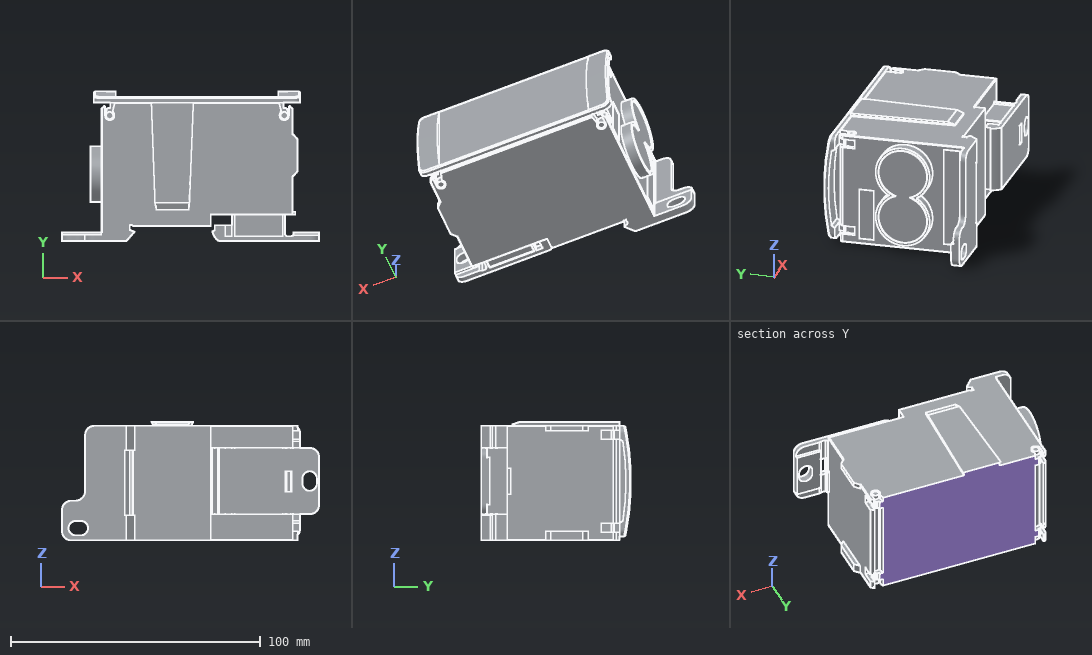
import cadquery as cq

LENGTH = 103.0
BODY_HEIGHT = 45.9

BODY_LEFT = 15.9
BODY_RIGHT = 92.5
BODY_TOP = 55.4
RAIL_FLOOR = 6.0
STEP_X = 59.6
STEP_Y = 10.5
SHOULDER_Y = 52.9
SHOULDER_CHAMFER = 1.1
RIM_CHAMFER = 0.3

BUMP_FACE = 94.3
BUMP_Y = (25.9, 42.8)
BUMP_SLOPE = 2.1
LOWER_BUMP_Z = (0, 3.6)
UPPER_BUMP_Z = (43.9, BODY_HEIGHT)
CATCH_FACE = 93.4
CATCH_TOP = 11.8
CATCH_Z = (18.5, 28.8)

FLANGE_THICKNESS = 2.5
FLANGE_EDGE = 9.3
TAB_HEIGHT = 16.0
CORNER_RADIUS = 3.8
SLOT_LENGTH = 7.7
SLOT_WIDTH = 5.7
FIXED_SLOT = (6.6, 4.9)
PAD_THICKNESS = 3.5
PAD_HEIGHT = 10.3

HOOK_START = 25.9
HOOK_TIP = 29.1
HOOK_ROOT = 27.2
HOOK_ROOT_Y = 4.5
GROOVE_Y = 6.4
HOOK_RELIEF = 0.7
HOOK_RELIEF_Z = (10.2, 36.0)

SLIDER_Z = (10.5, 37.1)
SLIDER_THICKNESS = 2.0
SLIDER_TIP = 60.2
SLIDER_NOSE_Y = 6.4
SLIDER_SLOT_X = 99.2
SLIDER_END_THICKNESS = 2.4
BLOCK_X = (68.1, 89.4)
BLOCK_RIB = 1.0
BLOCK_RECESS = 0.7
BLOCK_FOOT = 0.6
NOSE_END = 65.4
NOSE_POCKET = 3.1
END_PAD_X = 92.7
WINDOW_X = (89.4, 92.1)
WINDOW_Z = (19.6, 27.7)

COVER_X = (12.8, 95.4)
COVER_Z = (1.5, BODY_HEIGHT)
CENTRE_X = sum(COVER_X) / 2
COVER_TOP = 57.7
COVER_CROWN = 60.0
COVER_CORNER = 3.0
COVER_BEVEL = 0.5
COVER_END = 8.9
COVER_ARCH_LEG = 5.4
COVER_ARCH_DEPTH = 8.2
COVER_ARCH_SLANT = 0.9
COVER_ARCH_SPRING = 56.8
COVER_ARCH_CROWN = 58.0

PIN_OFFSET = 34.9
PIN_Y = 50.3
PIN_RADIUS = 1.4
PIN_GROOVE = 0.4
PIN_HOLE_RADIUS = 1.9
HINGE_WIDTH = 3.5
HINGE_INSET = 1.9
HINGE_POCKET_Y = 48.0

ENTRY_Y = 26.8
ENTRY_Z = (14.1, 33.4)
ENTRY_RADIUS = 11.2
ENTRY_BORE = 10.1
ENTRY_FACE = 11.4
ENTRY_RECESS = 0.4

LABEL_DEPTH = 0.2
SMALL_LABEL = ((40.1, 46.1), (2.2, 23.3))
LARGE_LABEL = ((4.2, 11.0), (3.5, 44.1))

CLIP_HEIGHT = 1.5
CLIP_LIP = 0.5


def box(x, y, z):
    """Box between (low, high) limits along each axis."""
    size = (x[1] - x[0], y[1] - y[0], z[1] - z[0])
    return cq.Workplane("XY").box(*size, centered=False).translate((x[0], y[0], z[0]))


def prism(points, z):
    """Outline in XY extruded between two Z levels."""
    return cq.Workplane("XY").workplane(offset=z[0]).polyline(points).close().extrude(z[1] - z[0])


def mirrored(shape):
    """Copy of a shape on the other side of the cover's middle plane."""
    return shape.mirror("YZ", (CENTRE_X, 0, 0))


def mounting_slot(x, z, angle):
    """Cutter for a round-ended slot through a flange."""
    return (
        cq.Workplane("XZ", origin=(x, 0, z))
        .slot2D(SLOT_LENGTH, SLOT_WIDTH, angle)
        .extrude(SLOT_LENGTH, both=True)
    )


def bevel_rim(body, x, y):
    """Bevel both Z-face edges that run past the given XY point."""
    for z in (0, BODY_HEIGHT):
        edge = body.edges(cq.selectors.NearestToPointSelector((x, y, z)))
        body = edge.chamfer(RIM_CHAMFER)
    return body


def housing():
    outline = [
        (BODY_LEFT, 0),
        (HOOK_START, 0),
        (HOOK_TIP - 0.7, 2.9),
        (HOOK_TIP, 3.7),
        (HOOK_ROOT, HOOK_ROOT_Y),
        (HOOK_ROOT, GROOVE_Y),
        (HOOK_ROOT + 0.9, GROOVE_Y),
        (HOOK_ROOT + 1.3, RAIL_FLOOR),
        (STEP_X, RAIL_FLOOR),
        (STEP_X, STEP_Y),
        (BODY_RIGHT, STEP_Y),
        (BODY_RIGHT, BODY_TOP),
        (BODY_LEFT, BODY_TOP),
    ]
    body = prism(outline, (0, BODY_HEIGHT))
    for seat_point in ((BODY_LEFT, BODY_TOP / 2), (BODY_RIGHT, BODY_TOP / 2), (CENTRE_X, BODY_TOP)):
        body = bevel_rim(body, *seat_point)
    body = bevel_rim(body, (STEP_X + BODY_RIGHT) / 2, STEP_Y)
    relief = [
        (HOOK_START - HOOK_RELIEF, 0),
        (HOOK_START + 1.0, 3.7),
        (HOOK_ROOT, HOOK_ROOT_Y),
        (HOOK_TIP + 1, HOOK_ROOT_Y),
        (HOOK_TIP + 1, 0),
    ]
    return body.cut(prism(relief, HOOK_RELIEF_Z))


def side_bumps():
    """Raised strips on the +X wall, one at each Z end, and the small catch below them."""
    root_x = BODY_RIGHT - RIM_CHAMFER
    outline = [
        (root_x, BUMP_Y[0]),
        (BODY_RIGHT, BUMP_Y[0]),
        (BUMP_FACE, BUMP_Y[0] + BUMP_SLOPE),
        (BUMP_FACE, BUMP_Y[1] - BUMP_SLOPE),
        (BODY_RIGHT, BUMP_Y[1]),
        (root_x, BUMP_Y[1]),
    ]
    catch = box((BODY_RIGHT, CATCH_FACE), (STEP_Y, CATCH_TOP), CATCH_Z)
    return prism(outline, LOWER_BUMP_Z).union(prism(outline, UPPER_BUMP_Z)).union(catch)


def fixed_flange():
    outline = [
        (0, 0),
        (BODY_LEFT + 1, 0),
        (BODY_LEFT + 1, BODY_HEIGHT),
        (FLANGE_EDGE, BODY_HEIGHT),
        (FLANGE_EDGE, TAB_HEIGHT),
        (0, TAB_HEIGHT),
    ]
    plate = cq.Workplane("XZ").polyline(outline).close().extrude(-PAD_THICKNESS)
    plate = plate.edges("|Y").edges("not >X").fillet(CORNER_RADIUS)
    thinning = box((-1, BODY_LEFT), (FLANGE_THICKNESS, BODY_TOP), (PAD_HEIGHT, BODY_HEIGHT))
    return plate.cut(thinning).cut(mounting_slot(*FIXED_SLOT, 0))


def slider():
    nose_x = SLIDER_TIP + 1
    nose = (
        cq.Workplane("XY", origin=(0, 0, SLIDER_Z[0]))
        .moveTo(63.0, 0)
        .lineTo(BLOCK_X[0], 0)
        .lineTo(BLOCK_X[0], SLIDER_NOSE_Y)
        .lineTo(nose_x, SLIDER_NOSE_Y)
        .lineTo(nose_x, 4.3)
        .lineTo(SLIDER_TIP, 3.9)
        .threePointArc((61.0, 2.0), (62.4, 0.2))
        .close()
        .extrude(SLIDER_Z[1] - SLIDER_Z[0])
    )
    ramp_start = END_PAD_X - 1.0
    end_ramp = [
        (ramp_start, SLIDER_THICKNESS),
        (END_PAD_X, SLIDER_END_THICKNESS),
        (LENGTH, SLIDER_END_THICKNESS),
        (LENGTH, 0),
        (ramp_start, 0),
    ]
    plate = box((BLOCK_X[0], LENGTH), (0, SLIDER_THICKNESS), SLIDER_Z).union(prism(end_ramp, SLIDER_Z))
    plate = plate.edges("|Y and >X").fillet(CORNER_RADIUS)
    pad_z = (SLIDER_Z[0] + CORNER_RADIUS, SLIDER_Z[1] - CORNER_RADIUS)
    plate = plate.union(box((END_PAD_X, LENGTH), (0, PAD_THICKNESS), pad_z))
    foot = [
        (BLOCK_X[1], SLIDER_THICKNESS + BLOCK_FOOT),
        (BLOCK_X[1], SLIDER_THICKNESS),
        (BLOCK_X[1] + BLOCK_FOOT, SLIDER_THICKNESS),
    ]
    block = box(BLOCK_X, (0, STEP_Y), SLIDER_Z)
    for z in SLIDER_Z:
        recess_x = (BLOCK_X[0] + BLOCK_RIB, BLOCK_X[1] - BLOCK_RIB)
        recess_z = (z - BLOCK_RECESS, z + BLOCK_RECESS)
        block = block.cut(box(recess_x, (SLIDER_THICKNESS, STEP_Y), recess_z))
        pocket_z = (z - NOSE_POCKET, z + NOSE_POCKET)
        nose = nose.cut(box((NOSE_END, BLOCK_X[0]), (SLIDER_THICKNESS, SLIDER_NOSE_Y), pocket_z))
    middle_z = sum(SLIDER_Z) / 2
    window = box(WINDOW_X, (0, SLIDER_THICKNESS), WINDOW_Z)
    clip = plate.union(nose).union(block).union(prism(foot, SLIDER_Z))
    return clip.cut(window).cut(mounting_slot(SLIDER_SLOT_X, middle_z, 90))


def cover():
    z_low, z_high = COVER_Z
    z_mid = (z_low + z_high) / 2
    length = COVER_X[1] - COVER_X[0]
    blank = (
        cq.Workplane("YZ", origin=(COVER_X[0], 0, 0))
        .moveTo(BODY_TOP, z_low)
        .lineTo(COVER_TOP, z_low)
        .threePointArc((COVER_CROWN, z_mid), (COVER_TOP, z_high))
        .lineTo(BODY_TOP, z_high)
        .close()
        .extrude(length)
        .edges("|Y")
        .fillet(COVER_CORNER)
    )
    crown_rim = cq.selectors.BoxSelector((0, COVER_TOP - 0.2, -1), (LENGTH, COVER_CROWN + 1, LENGTH))
    blank = blank.edges(crown_rim).chamfer(COVER_BEVEL)
    middle_x = (COVER_X[0] + COVER_END, COVER_X[1] - COVER_END)
    blank = blank.cut(box(middle_x, (COVER_TOP, COVER_CROWN + 1), (0, BODY_HEIGHT)))
    leg_low = z_low + COVER_ARCH_LEG
    leg_high = z_high - COVER_ARCH_LEG
    arch = (
        cq.Workplane("YZ", origin=(COVER_X[0], 0, 0))
        .moveTo(BODY_TOP, leg_low)
        .lineTo(COVER_ARCH_SPRING, leg_low + COVER_ARCH_SLANT)
        .threePointArc((COVER_ARCH_CROWN, z_mid), (COVER_ARCH_SPRING, leg_high - COVER_ARCH_SLANT))
        .lineTo(BODY_TOP, leg_high)
        .close()
        .extrude(COVER_ARCH_DEPTH)
    )
    return blank.cut(arch).cut(mirrored(arch))


def hinge_bands():
    low = HINGE_INSET + COVER_Z[0]
    high = COVER_Z[1] - HINGE_INSET
    return [(low, low + HINGE_WIDTH), (high - HINGE_WIDTH, high)]


def hinge_cut():
    """Notch, pin-end rings and arm pockets at the -X hinge."""
    pin_x = CENTRE_X - PIN_OFFSET
    notch = [
        (BODY_LEFT - 1, BODY_TOP),
        (BODY_LEFT - 1, SHOULDER_Y),
        (BODY_LEFT, SHOULDER_Y),
        (BODY_LEFT + SHOULDER_CHAMFER, SHOULDER_Y + SHOULDER_CHAMFER),
        (pin_x - PIN_HOLE_RADIUS, SHOULDER_Y + 0.8),
        (pin_x - PIN_HOLE_RADIUS, PIN_Y),
        (pin_x + PIN_HOLE_RADIUS, PIN_Y),
        (pin_x + 1.2, 52.1),
        (pin_x + 2.1, BODY_TOP),
    ]
    cutter = prism(notch, (0, BODY_HEIGHT))
    hole = cq.Workplane("XY").center(pin_x, PIN_Y).circle(PIN_HOLE_RADIUS).extrude(2 * PIN_GROOVE)
    for end_z in (0, BODY_HEIGHT):
        cutter = cutter.union(hole.translate((0, 0, end_z - PIN_GROOVE)))
    for band in hinge_bands():
        cutter = cutter.union(box((BODY_LEFT - 1, pin_x - PIN_RADIUS), (HINGE_POCKET_Y, BODY_TOP), band))
    return cutter


def hinge():
    """Pin and its neck at the -X hinge."""
    pin_x = CENTRE_X - PIN_OFFSET
    pin = cq.Workplane("XY").center(pin_x, PIN_Y).circle(PIN_RADIUS).extrude(BODY_HEIGHT)
    neck = [
        (pin_x - PIN_RADIUS, PIN_Y),
        (pin_x + PIN_RADIUS, PIN_Y),
        (pin_x + 1.2, 52.1),
        (pin_x + 2.1, BODY_TOP),
        (pin_x + 0.2, BODY_TOP),
        (pin_x + 0.2, 53.4),
        (pin_x - 0.6, 53.4),
        (pin_x - 1.1, 52.9),
        (pin_x - PIN_RADIUS, 52.1),
    ]
    for band in hinge_bands():
        pin = pin.union(prism(neck, band))
    return pin


def figure_eight(radius, x_start, depth):
    shape = cq.Workplane("XY")
    for z in ENTRY_Z:
        lobe = cq.Workplane("YZ", origin=(x_start, ENTRY_Y, z)).circle(radius).extrude(depth)
        shape = shape.union(lobe)
    return shape


def cable_entry():
    boss = figure_eight(ENTRY_RADIUS, ENTRY_FACE, BODY_LEFT - ENTRY_FACE)
    return boss.cut(figure_eight(ENTRY_BORE, ENTRY_FACE, ENTRY_RECESS))


def label_recesses():
    depth_x = (BODY_LEFT, BODY_LEFT + LABEL_DEPTH)
    return box(depth_x, *SMALL_LABEL).union(box(depth_x, *LARGE_LABEL))


def spring_clip():
    """Tapered tongue on the +Z face, undercut along its sides and sloped at its tip."""
    base = [(37.9, 12.5), (50.8, 12.5), (52.1, BODY_TOP), (36.5, BODY_TOP)]
    crest = [(37.3, 15.3), (51.1, 15.3), (52.6, BODY_TOP), (35.8, BODY_TOP)]
    lip_top = BODY_HEIGHT + CLIP_LIP
    lip = prism(base, (BODY_HEIGHT, lip_top))
    flare = (
        cq.Workplane("XY", origin=(0, 0, lip_top))
        .polyline(base)
        .close()
        .workplane(offset=CLIP_HEIGHT - CLIP_LIP)
        .polyline(crest)
        .close()
        .loft(ruled=True)
    )
    return lip.union(flare)


result = housing().union(side_bumps()).union(fixed_flange())
result = result.cut(hinge_cut()).cut(mirrored(hinge_cut())).cut(label_recesses())
for part in (slider(), cover(), hinge(), mirrored(hinge()), cable_entry(), spring_clip()):
    result = result.union(part)